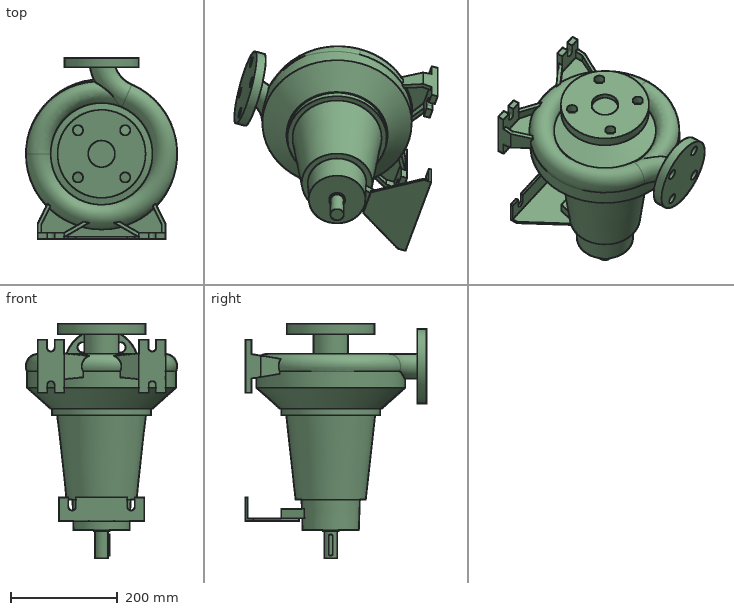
import cadquery as cq
import math


suction_top = 80.0
suction_flange_dia = 165.0
suction_flange_thickness = 20.0
suction_bolt_circle = 125.0
suction_bolt_hole_dia = 19.0
suction_bore_dia = 50.0
suction_bore_depth = 10.0
neck_radius = 32.5

outlet_face_y = 180.0
outlet_flange_dia = 140.0
outlet_flange_thickness = 18.0
outlet_bolt_circle = 100.0
outlet_bolt_hole_dia = 19.0

bolt_count = 4
bolt_start_angle = 45.0

tube_radius = 23.5
tube_outer_radius = 142.0
tube_path_radius = tube_outer_radius - tube_radius
tube_inner_radius = tube_path_radius - tube_radius
tail_middle_radius = 22.0
tail_end_radius = 18.5

cover_top_z = 15.5
cover_edge_z = 4.0
casing_radius = 140.0
casing_rim_z = -3.0
casing_bottom_z = -40.0
casing_cone_radius = 95.0
collar_radius = 93.0
collar_top_z = -80.0
collar_bottom_z = -92.0
housing_top_radius = 83.5
housing_bottom_radius = 66.0
housing_bottom_z = -250.0
bearing_top_radius = 55.0
bearing_bottom_radius = 53.0
bearing_bottom_z = -307.0

shaft_shoulder_radius = 15.0
shaft_shoulder_length = 2.5
shaft_radius = 12.5
shaft_end_z = -360.0
key_width = 8.0
key_outer_x = 15.0
key_top_z = -315.0
key_bottom_z = -355.0

base_y = -160.0
foot_center_x = 95.0
foot_width = 50.0
foot_height = 100.0
foot_thickness = 12.0
slot_width = 14.0
foot_slot_center_z = 35.0
rib_thickness = 7.0
rib_root_half_height = 23.0
rib_taper_angle = 9.5
outer_rib_straight_length = 17.0
outer_rib_angle = 26.5
inner_rib_angle = 30.0
rib_reach = 60.0
foot_web_thickness = 8.0

bracket_width = 160.0
bracket_top_z = -245.5
bracket_bottom_z = -290.0
bracket_thickness = 5.0
bracket_slot_x = 55.0
bracket_slot_center_z = -263.0
bracket_tip_y = -59.0
bracket_tip_width = 48.0
bracket_shoulder_y = -145.0
block_top_z = -267.0
block_end_y = -92.7
block_end_width = 21.0
block_draft_angle = 15.0


def flange(plane, diameter, thickness, bolt_circle, hole_dia):
    """Round flange with evenly spaced bolt holes, built back from its face."""
    holes = (
        cq.Workplane(plane)
        .polarArray(bolt_circle / 2, bolt_start_angle, 360, bolt_count)
        .circle(hole_dia / 2)
        .extrude(-thickness)
    )
    return cq.Workplane(plane).circle(diameter / 2).extrude(-thickness).cut(holes)


def suction_flange():
    face = cq.Plane(origin=(0, 0, suction_top), xDir=(1, 0, 0), normal=(0, 0, 1))
    bore = cq.Workplane(face).circle(suction_bore_dia / 2).extrude(-suction_bore_depth)
    return flange(
        face, suction_flange_dia, suction_flange_thickness, suction_bolt_circle, suction_bolt_hole_dia
    ).cut(bore)


def outlet_flange():
    face = cq.Plane(origin=(0, outlet_face_y, 0), xDir=(1, 0, 0), normal=(0, 1, 0))
    return flange(
        face, outlet_flange_dia, outlet_flange_thickness, outlet_bolt_circle, outlet_bolt_hole_dia
    )


def turned_body():
    """Neck, casing, bearing housing and shaft as one revolved profile."""
    neck_top_z = suction_top - suction_flange_thickness
    shoulder_end_z = bearing_bottom_z - shaft_shoulder_length
    profile = [
        (0, neck_top_z),
        (neck_radius, neck_top_z),
        (neck_radius, cover_top_z),
        (tube_inner_radius, cover_edge_z),
        (tube_path_radius, casing_rim_z),
        (casing_radius, casing_rim_z),
        (casing_radius, casing_bottom_z),
        (casing_cone_radius, collar_top_z),
        (collar_radius, collar_top_z),
        (collar_radius, collar_bottom_z),
        (housing_top_radius, collar_bottom_z),
        (housing_bottom_radius, housing_bottom_z),
        (bearing_top_radius, housing_bottom_z),
        (bearing_bottom_radius, bearing_bottom_z),
        (shaft_shoulder_radius, bearing_bottom_z),
        (shaft_shoulder_radius, shoulder_end_z),
        (shaft_radius, shoulder_end_z),
        (shaft_radius, shaft_end_z),
        (0, shaft_end_z),
    ]
    return cq.Workplane("YZ").polyline(profile).close().revolve(360, (0, 0), (0, 1))


def shaft_key():
    """Key with round ends, standing out of the shaft on the +X side."""
    return (
        cq.Workplane("YZ")
        .center(0, (key_top_z + key_bottom_z) / 2)
        .slot2D(key_top_z - key_bottom_z, key_width, 90)
        .extrude(key_outer_x)
    )


def polar(radius, angle):
    return (radius * math.cos(angle), radius * math.sin(angle))


leave_angle = 2 * math.atan(tube_path_radius / outlet_face_y)
outlet_bend_radius = tube_path_radius / (1 - math.cos(leave_angle)) - tube_path_radius


def volute_tube():
    """Constant tube from the -X side round through -Y and +X, then out to the outlet."""
    bend_center = polar(tube_path_radius + outlet_bend_radius, leave_angle)
    bend_turn = polar(outlet_bend_radius, math.pi + leave_angle / 2)
    bend_middle = (bend_center[0] + bend_turn[0], bend_center[1] + bend_turn[1])
    path = (
        cq.Workplane("XY")
        .moveTo(-tube_path_radius, 0)
        .threePointArc(
            polar(tube_path_radius, (leave_angle - math.pi) / 2),
            polar(tube_path_radius, leave_angle),
        )
        .threePointArc(bend_middle, (0, outlet_face_y))
    )
    return cq.Workplane("XZ").center(-tube_path_radius, 0).circle(tube_radius).sweep(path)


def tail_section(radius, angle):
    """Point on the tail path and the round wire there, touching the tube's inner radius."""
    x, y = polar(tube_inner_radius + radius, angle)
    plane = cq.Plane(
        origin=(x, y, 0),
        xDir=(math.cos(angle), math.sin(angle), 0),
        normal=(math.sin(angle), -math.cos(angle), 0),
    )
    return (x, y), cq.Workplane(plane).circle(radius).wires().val()


def volute_tail():
    """Tube narrowing from the -X side round through +Y until it is inside the outlet bend."""
    middle_angle = (math.pi + leave_angle) / 2
    start_point, start_wire = tail_section(tube_radius, math.pi)
    middle_point, middle_wire = tail_section(tail_middle_radius, middle_angle)
    end_point, end_wire = tail_section(tail_end_radius, leave_angle)
    path = cq.Workplane("XY").moveTo(*start_point).threePointArc(middle_point, end_point).wire().val()
    return cq.Workplane(cq.Solid.sweep_multi([start_wire, middle_wire, end_wire], path))


def end_slot(x, z, open_z, thickness):
    """Cutter for a slot with a round end at (x, z), open at open_z, through a base plate."""
    half = slot_width / 2
    away = math.copysign(half, z - open_z)
    return (
        cq.Workplane("XZ", origin=(0, base_y, 0))
        .moveTo(x - half, open_z)
        .lineTo(x - half, z)
        .threePointArc((x, z + away), (x + half, z))
        .lineTo(x + half, open_z)
        .close()
        .extrude(-thickness)
    )


def casing_foot():
    """Foot on the +X side: slotted plate, two tapered ribs and a flat web between them."""
    plate_back_y = base_y + foot_thickness
    outer_x = foot_center_x + foot_width / 2
    inner_x = foot_center_x - foot_width / 2
    plate = cq.Workplane("XY").box(
        foot_width, foot_thickness, foot_height, centered=(True, False, True)
    ).translate((foot_center_x, base_y, 0))
    for side in (1, -1):
        plate = plate.cut(
            end_slot(foot_center_x, side * foot_slot_center_z, side * foot_height / 2, foot_thickness)
        )

    lean = math.radians(outer_rib_angle)
    knee_y = plate_back_y + outer_rib_straight_length
    inner_knee_y = knee_y - rib_thickness * math.tan(lean / 2)
    reach_x = rib_reach * math.sin(lean)
    reach_y = rib_reach * math.cos(lean)
    outer_inside_x = outer_x - rib_thickness
    outer_rib = [
        (outer_x, plate_back_y),
        (outer_x, knee_y),
        (outer_x - reach_x, knee_y + reach_y),
        (outer_inside_x - reach_x, inner_knee_y + reach_y),
        (outer_inside_x, inner_knee_y),
        (outer_inside_x, plate_back_y),
    ]

    slope = math.radians(inner_rib_angle)
    front_y = plate_back_y - rib_thickness / math.cos(slope)
    run_x = rib_reach * math.cos(slope)
    run_y = rib_reach * math.sin(slope)
    inner_rib = [
        (inner_x, plate_back_y),
        (inner_x - run_x, plate_back_y + run_y),
        (inner_x - run_x, front_y + run_y),
        (inner_x, front_y),
    ]

    web = [
        (outer_inside_x, plate_back_y),
        (outer_inside_x, inner_knee_y),
        (outer_inside_x - reach_x, inner_knee_y + reach_y),
        (inner_x - run_x, plate_back_y + run_y),
        (inner_x, plate_back_y),
    ]

    taper = math.tan(math.radians(rib_taper_angle))
    front_half = rib_root_half_height + foot_thickness * taper
    back_half = front_half + base_y * taper
    rib_envelope = (
        cq.Workplane("YZ")
        .polyline([(base_y, -front_half), (base_y, front_half), (0, back_half), (0, -back_half)])
        .close()
        .extrude(outer_x)
    )
    web_plate = cq.Workplane("XY").polyline(web).close().extrude(foot_web_thickness / 2, both=True)
    foot = plate.union(web_plate)
    for outline in (outer_rib, inner_rib):
        bar = cq.Workplane("XY").polyline(outline).close().extrude(front_half, both=True)
        foot = foot.union(bar.intersect(rib_envelope))
    return foot


def support_bracket():
    """Slotted upright plate, tapered floor plate and the block that joins the housing."""
    half_width = bracket_width / 2
    upright = cq.Workplane("XY").box(
        bracket_width, bracket_thickness, bracket_top_z - bracket_bottom_z, centered=(True, False, False)
    ).translate((0, base_y, bracket_bottom_z))
    for x in (-bracket_slot_x, bracket_slot_x):
        upright = upright.cut(end_slot(x, bracket_slot_center_z, bracket_top_z, bracket_thickness))

    half_tip = bracket_tip_width / 2
    floor = (
        cq.Workplane("XY", origin=(0, 0, bracket_bottom_z))
        .polyline([
            (-half_width, base_y),
            (half_width, base_y),
            (half_width, bracket_shoulder_y),
            (half_tip, bracket_tip_y),
            (-half_tip, bracket_tip_y),
            (-half_width, bracket_shoulder_y),
        ])
        .close()
        .extrude(bracket_thickness)
    )

    floor_top_z = bracket_bottom_z + bracket_thickness
    half_end = block_end_width / 2
    block_root_y = -bearing_bottom_radius / 2
    half_root = half_end + (block_root_y - block_end_y) * math.tan(math.radians(block_draft_angle))
    block = (
        cq.Workplane("XY", origin=(0, 0, floor_top_z))
        .polyline([
            (-half_end, block_end_y),
            (half_end, block_end_y),
            (half_root, block_root_y),
            (-half_root, block_root_y),
        ])
        .close()
        .extrude(block_top_z - floor_top_z)
    )
    return upright.union(floor).union(block)


foot = casing_foot()
result = (
    turned_body()
    .union(volute_tail())
    .union(volute_tube())
    .union(suction_flange())
    .union(outlet_flange())
    .union(shaft_key())
    .union(foot)
    .union(foot.mirror("YZ"))
    .union(support_bracket())
)